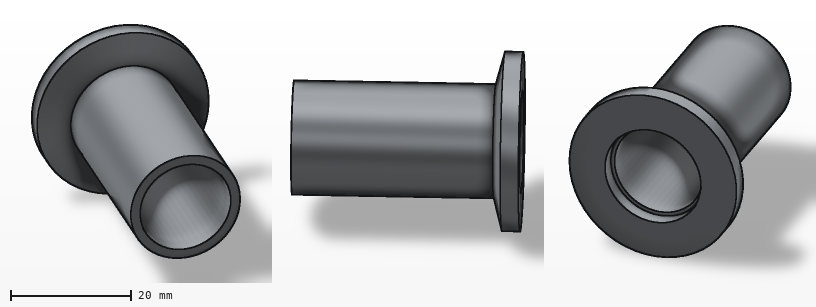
import cadquery as cq
import math

total_length = 38.1
flange_diameter = 30.0
flange_rim_width = 3.0
flange_back_angle = 15.0
tube_diameter = 19.1
bore_diameter = 15.8
recess_diameter = 17.2
recess_depth = 2.6

flange_radius = flange_diameter / 2
tube_radius = tube_diameter / 2
taper_length = (flange_radius - tube_radius) * math.tan(math.radians(flange_back_angle))
taper_end = flange_rim_width + taper_length


def flanged_body():
    """Solid tube along X with a tapered-back flange at X = 0."""
    profile = (
        cq.Workplane("XY")
        .moveTo(0, 0)
        .lineTo(0, flange_radius)
        .lineTo(flange_rim_width, flange_radius)
        .lineTo(taper_end, tube_radius)
        .lineTo(total_length, tube_radius)
        .lineTo(total_length, 0)
        .close()
    )
    return profile.revolve(360, (0, 0, 0), (1, 0, 0))


def axial_cylinder(diameter, length):
    """Cylinder on the X axis, starting at the flange face."""
    return cq.Workplane("YZ").circle(diameter / 2).extrude(length)


through_bore = axial_cylinder(bore_diameter, total_length)
centring_recess = axial_cylinder(recess_diameter, recess_depth)

result = flanged_body().cut(through_bore).cut(centring_recess)